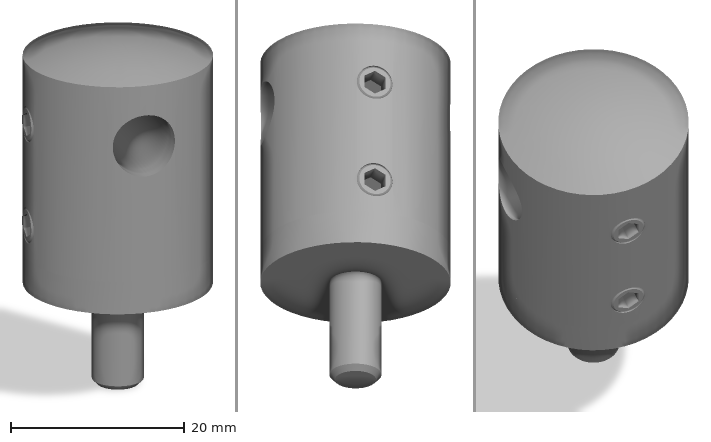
import cadquery as cq
import math

total_height = 42.35
stud_length = 12.35
base_thickness = 4.0
housing_height = 23.9

base_bottom = stud_length
housing_bottom = base_bottom + base_thickness
dome_edge = housing_bottom + housing_height

body_diameter = 22.0
body_radius = body_diameter / 2

stud_diameter = 6.0
stud_chamfer = 0.65

cross_hole_diameter = 7.5
cross_hole_height = 32.87

screw_diameter = 4.2
screw_length = 5.0
screw_chamfer = 0.25
screw_spacing = 12.4
screw_heights = [cross_hole_height, cross_hole_height - screw_spacing]
hex_across_flats = 2.5
hex_across_corners = hex_across_flats / math.cos(math.pi / 6)
hex_depth = 2.5


def screw_plane(height):
    """Plane of a screw face; its normal points outward, to -Y."""
    return cq.Plane(origin=(0, -body_radius, height), xDir=(1, 0, 0), normal=(0, -1, 0))


def make_housing():
    """Domed cylinder with a cross hole and a blind hole for each set screw."""
    profile_plane = cq.Workplane("XZ")
    dome_height = total_height - dome_edge
    dome_radius = (body_radius**2 + dome_height**2) / (2 * dome_height)
    half_angle = math.asin(body_radius / dome_radius) / 2
    dome_middle = (
        dome_radius * math.sin(half_angle),
        total_height - dome_radius * (1 - math.cos(half_angle)),
    )
    housing = (
        profile_plane.moveTo(0, housing_bottom)
        .lineTo(body_radius, housing_bottom)
        .lineTo(body_radius, dome_edge)
        .threePointArc(dome_middle, (0, total_height))
        .close()
        .revolve(360, (0, 0, 0), (0, 1, 0))
    )

    cross_hole = (
        cq.Workplane("YZ")
        .center(0, cross_hole_height)
        .circle(cross_hole_diameter / 2)
        .extrude(body_radius, both=True)
    )
    housing = housing.cut(cross_hole)

    for height in screw_heights:
        screw_hole = cq.Workplane(screw_plane(height)).circle(screw_diameter / 2).extrude(-screw_length)
        housing = housing.cut(screw_hole)
    return housing


def make_base():
    """Disc under the housing, bored through for the stud."""
    return (
        cq.Workplane("XY", origin=(0, 0, base_bottom))
        .circle(body_radius)
        .circle(stud_diameter / 2)
        .extrude(base_thickness)
    )


def make_stud():
    """Pin with a chamfered tip that fills the bore of the base."""
    return (
        cq.Workplane("XY")
        .circle(stud_diameter / 2)
        .extrude(housing_bottom)
        .faces("<Z")
        .chamfer(stud_chamfer)
    )


def make_set_screw(height):
    """Headless screw with a chamfered outer rim and a hexagon socket."""
    screw = (
        cq.Workplane(screw_plane(height))
        .circle(screw_diameter / 2)
        .extrude(-screw_length)
        .faces("<Y")
        .chamfer(screw_chamfer)
    )
    socket = (
        cq.Workplane(screw_plane(height))
        .transformed(rotate=(0, 0, 90))
        .polygon(6, hex_across_corners)
        .extrude(-hex_depth)
    )
    return screw.cut(socket)


housing = make_housing()
base = make_base()
stud = make_stud()
set_screws = [make_set_screw(height) for height in screw_heights]

result = cq.Compound.makeCompound(
    [housing.val(), base.val(), stud.val(), *[screw.val() for screw in set_screws]]
)